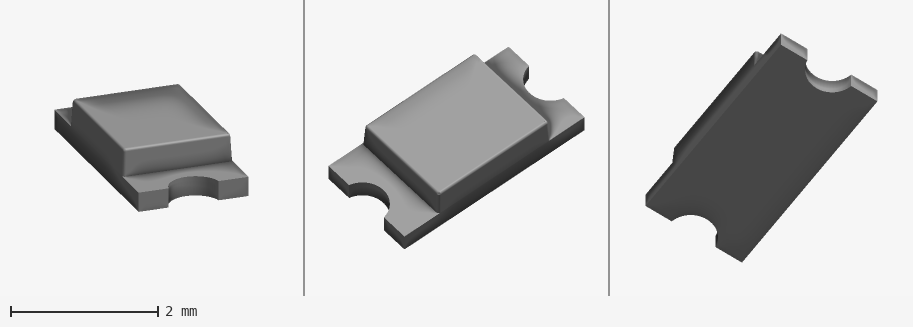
import cadquery as cq

LENGTH = 3.2
WIDTH = 1.6
HEIGHT = 0.68

BOARD_HEIGHT = 0.28

MOULDING_LENGTH = 2.0
DRAFT_ANGLE = 3.0
CORNER_RADIUS = 0.04
LENS_RIM_RADIUS = 0.04
LENS_HEIGHT = HEIGHT - BOARD_HEIGHT

PAD_LENGTH = (LENGTH - MOULDING_LENGTH) / 2
PLATE_THICKNESS = 0.04
INSERT_HEIGHT = BOARD_HEIGHT - PLATE_THICKNESS
TERMINAL_WIDTH = 1.088
FOOT_WIDTH = 1.395
NOTCH_RADIUS = 0.37
NOTCH_DEPTH = 0.3
MARK_WIDTH = 0.205


def make_moulding(base_z, height):
    """Block with drafted sides and rounded upright corners."""
    return (
        cq.Workplane("XY")
        .workplane(offset=base_z)
        .rect(MOULDING_LENGTH, WIDTH)
        .extrude(height, taper=DRAFT_ANGLE)
        .edges("not(|X or |Y)")
        .fillet(CORNER_RADIUS)
    )


def make_lens():
    """Moulding on top of the board, with a rounded top rim."""
    return make_moulding(BOARD_HEIGHT, LENS_HEIGHT).faces(">Z").edges().fillet(LENS_RIM_RADIUS)


def make_insert():
    """Moulding set into the underside of the board."""
    return make_moulding(0, INSERT_HEIGHT)


def pad_box(width, height):
    """Box along the -X end of the board, centred across it and standing on its underside."""
    return (
        cq.Workplane("XY")
        .box(PAD_LENGTH, width, height, centered=(False, True, False))
        .translate((-LENGTH / 2, 0, 0))
    )


def make_notch():
    """Round end notch at the -X end, its centre lying just outside the board."""
    center_x = -LENGTH / 2 + NOTCH_DEPTH - NOTCH_RADIUS
    return cq.Workplane("XY").center(center_x, 0).circle(NOTCH_RADIUS).extrude(BOARD_HEIGHT)


def make_terminal_blank():
    """Terminal at the -X end before notching: a full-height block on a wider foot."""
    block = pad_box(TERMINAL_WIDTH, BOARD_HEIGHT)
    foot = pad_box(FOOT_WIDTH, PLATE_THICKNESS)
    return block.union(foot)


def make_mark(side):
    """Polarity mark flush with the board top at the -X end, along the -Y (-1) or +Y (+1) edge."""
    center_y = side * (WIDTH - MARK_WIDTH) / 2
    bottom_z = BOARD_HEIGHT - PLATE_THICKNESS
    return pad_box(MARK_WIDTH, PLATE_THICKNESS).translate((0, center_y, bottom_z))


def make_board(fitted_bodies):
    """Plain slab with a matching recess for every body set into it."""
    board = cq.Workplane("XY").box(LENGTH, WIDTH, BOARD_HEIGHT, centered=(True, True, False))
    for body in fitted_bodies:
        board = board.cut(body)
    return board


def at_both_ends(body):
    """The body at the -X end and its mirrored copy at the +X end."""
    return [body, body.mirror("YZ")]


lens = make_lens()
insert = make_insert()
terminals = at_both_ends(make_terminal_blank().cut(make_notch()))
marks = [make_mark(side) for side in (-1, 1)]
board = make_board([insert, *at_both_ends(make_terminal_blank()), *marks])

bodies = [lens, insert, board, *terminals, *marks]
result = cq.Compound.makeCompound([body.solids().val() for body in bodies])